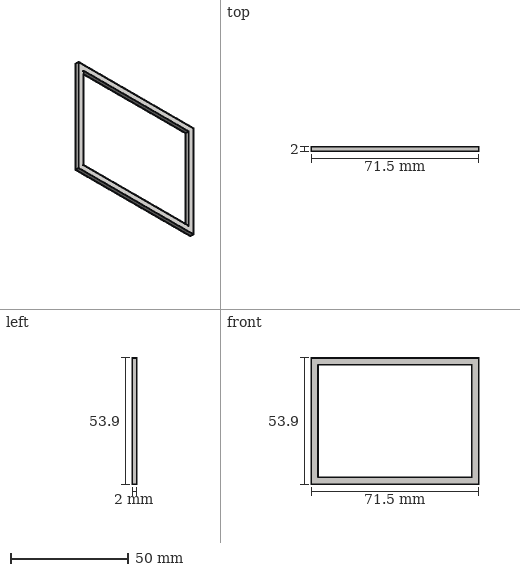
import cadquery as cq

width = 71.5
thickness = 2.0
height = 53.9

border = 3.0

plate = cq.Workplane("XY").box(width, thickness, height)

window = cq.Workplane("XY").box(width - 2 * border, thickness, height - 2 * border)

result = plate.cut(window)